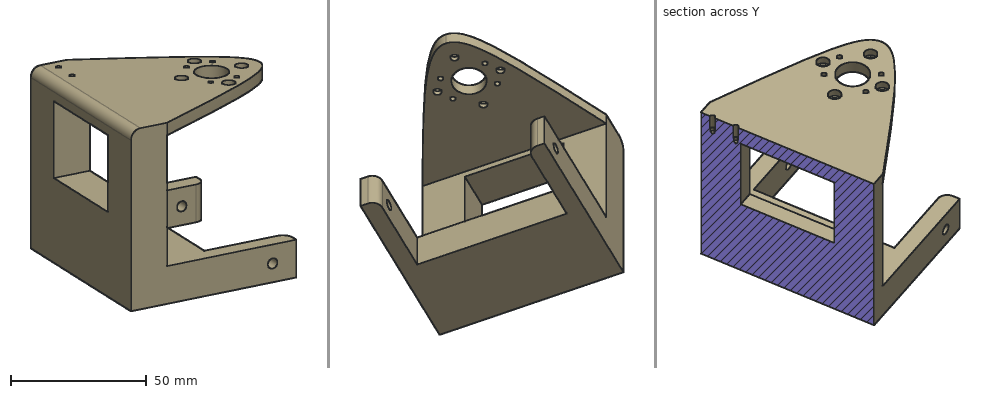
import cadquery as cq

width = 74.45
depth = 75.9
height = 71.5
half_width = width / 2
edge_radius = 4.0

wall_depth = 15.3
window_width = 40.0
window_bottom = 33.5
window_height = 30.3

base_height = 14.95
arm_reach = 70.0
arm_width = 7.0
slot_start = 35.05
pin_diameter = 4.0
pin_y = 60.0
pin_z = base_height / 2

plate_thickness = 5.0
nose_handle = 8.5
side_handle_x = 16.2
side_handle_y = 60.55

motor_y = 55.4
shaft_diameter = 13.0
bolt_circle_radius = 12.75
bolt_diameter = 3.0
bolt_head_diameter = 5.0
bolt_head_depth = 2.95
screw_diameter = 2.0
screw_spacing_x = 18.0
screw_spacing_y = 11.0

tapped_xs = (-32.25, -22.2)
tapped_y = 9.0
thread_diameter = 2.05
thread_depth = 6.1
core_diameter = 1.6
core_depth = 7.6
drill_tip_depth = 0.8


def box_between(x_range, y_range, z_range):
    """Axis-aligned box given by its limits along each axis."""
    sizes = [high - low for low, high in (x_range, y_range, z_range)]
    corner = (x_range[0], y_range[0], z_range[0])
    return cq.Workplane("XY").box(*sizes, centered=False).translate(corner)


def vertical_holes(points, diameter, top, length):
    """Cylinders going down from the height `top` at each (x, y) point."""
    plane = cq.Workplane("XY").workplane(offset=top)
    return plane.pushPoints(points).circle(diameter / 2).extrude(-length)


def make_wall():
    wall = box_between((-half_width, half_width), (0, wall_depth), (0, height))
    window = box_between(
        (-window_width / 2, window_width / 2),
        (0, wall_depth),
        (window_bottom, window_bottom + window_height),
    )
    return wall.cut(window)


def make_base():
    base = box_between((-half_width, half_width), (0, arm_reach), (0, base_height))
    slot_half_width = half_width - arm_width
    slot = box_between((-slot_half_width, slot_half_width), (slot_start, arm_reach), (0, base_height))
    base = base.cut(slot)
    margin = arm_width / 2
    arm_tip_corners = cq.selectors.BoxSelector(
        (-slot_half_width - margin, arm_reach - margin, 0),
        (slot_half_width + margin, arm_reach + margin, base_height),
    )
    base = base.edges("|Z").edges(arm_tip_corners).fillet(edge_radius)
    pin_hole = (
        cq.Workplane("YZ")
        .center(pin_y, pin_z)
        .circle(pin_diameter / 2)
        .extrude(half_width, both=True)
    )
    return base.cut(pin_hole)


def make_plate():
    right_corner = (half_width, wall_depth)
    right_handle = (side_handle_x, side_handle_y)
    left_corner = (-half_width, wall_depth)
    nose = (0, depth)
    return (
        cq.Workplane("XY")
        .workplane(offset=height - plate_thickness)
        .moveTo(-half_width, 0)
        .lineTo(half_width, 0)
        .lineTo(*right_corner)
        .bezier([right_corner, right_handle, (nose_handle, depth), nose])
        .bezier([nose, (-nose_handle, depth), (-right_handle[0], right_handle[1]), left_corner])
        .close()
        .extrude(plate_thickness)
    )


def make_motor_holes():
    center = [(0, motor_y)]
    bolts = [
        (bolt_circle_radius, motor_y),
        (0, motor_y + bolt_circle_radius),
        (-bolt_circle_radius, motor_y),
        (0, motor_y - bolt_circle_radius),
    ]
    screws = [
        (side * screw_spacing_x / 2, motor_y + end * screw_spacing_y / 2)
        for side in (-1, 1)
        for end in (-1, 1)
    ]
    return (
        vertical_holes(center, shaft_diameter, height, plate_thickness)
        .union(vertical_holes(bolts, bolt_diameter, height, plate_thickness))
        .union(vertical_holes(bolts, bolt_head_diameter, height, bolt_head_depth))
        .union(vertical_holes(screws, screw_diameter, height, plate_thickness))
    )


def make_tapped_hole(x):
    """Half profile of the stepped hole with its drill tip, turned about its vertical axis."""
    core_bottom = height - core_depth
    thread_bottom = height - thread_depth
    profile = [
        (0, height),
        (thread_diameter / 2, height),
        (thread_diameter / 2, thread_bottom),
        (core_diameter / 2, thread_bottom),
        (core_diameter / 2, core_bottom),
        (0, core_bottom - drill_tip_depth),
    ]
    hole = cq.Workplane("XZ").polyline(profile).close().revolve(360, (0, 0, 0), (0, 1, 0))
    return hole.translate((x, tapped_y, 0))


result = make_wall().union(make_base()).union(make_plate())

result = result.faces("<Y").edges(">Z").fillet(edge_radius)

result = result.cut(make_motor_holes())
for tapped_x in tapped_xs:
    result = result.cut(make_tapped_hole(tapped_x))